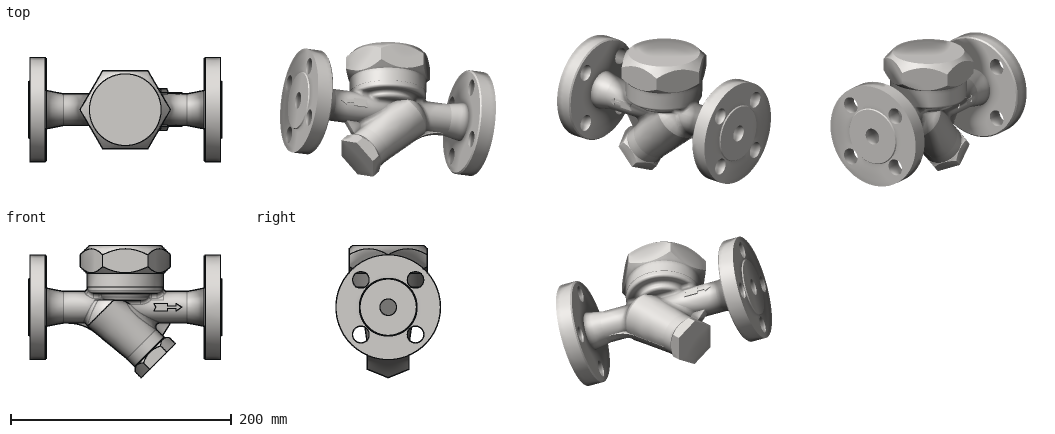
import cadquery as cq
import math

LENGTH = 175.0
HALF_LENGTH = LENGTH / 2

FLANGE_DIAMETER = 95.0
FLANGE_THICKNESS = 15.0
FLANGE_CHAMFER = 1.2
RAISED_FACE_DIAMETER = 51.0
RAISED_FACE_BASE_DIAMETER = 52.5
RAISED_FACE_HEIGHT = 1.0
BOLT_CIRCLE = 70.0
BOLT_HOLE_DIAMETER = 15.0
BOLT_COUNT = 4
FIRST_BOLT_ANGLE = 45.0

PIPE_DIAMETER = 29.0
PIPE_RADIUS = PIPE_DIAMETER / 2
HUB_DIAMETER = 35.0
HUB_LENGTH = 15.3
BORE_DIAMETER = 15.0
BORE_DEPTH = 40.0

HEXAGON_SIDES = 6
COVER_FLATS = 71.0
COVER_TOP = 56.0
COVER_BOTTOM = 30.5
COVER_TOP_DIAMETER = 65.0
COLLAR_DIAMETER = 69.5
COLLAR_BOTTOM = 18.3

DISC_DIAMETER = 69.0
DISC_BOTTOM = 12.6
DISC_ROUND = 2.4
NECK_DIAMETER = 50.0
NECK_BOTTOM = 6.0
NECK_ROUND = 3.0
BODY_FILLET = 3.0
SELECTION_MARGIN = 0.1

BRANCH_ANGLE = 45.0
BRANCH_CROSSING_X = -18.5
BRANCH_DIAMETER = 38.0
BRANCH_START = -12.0
BRANCH_START_RADIUS = 23.5
BRANCH_STRAIGHT_START = 34.0
BRANCH_END = 44.0
BRANCH_DOME_DEPTH = 12.0
BRANCH_TOP = 6.5
BRANCH_TO_PIPE_FILLET = 4.0

RIB_THICKNESS = 6.0
RIB_BLEND_RADIUS = 39.0
RIB_RIGHT_TOP = (41.0, -PIPE_RADIUS)
RIB_RIGHT_BOTTOM = (34.0, -25.5)

PLUG_FLATS = 38.0
PLUG_START = 44.6
PLUG_SHOULDER_DIAMETER = 36.5
PLUG_END = 55.5

ARROW_TAIL_X = 25.9
ARROW_NOTCH_X = 27.7
ARROW_SHAFT_X = 38.4
ARROW_HEAD_X = 45.9
ARROW_TIP_X = 51.3
ARROW_HALF_WIDTH = 3.5
ARROW_SHAFT_HALF_WIDTH = 1.1
ARROW_RELIEF = 0.9


def corner_diameter(across_flats):
    return across_flats / math.cos(math.pi / HEXAGON_SIDES)


def chamfer_cone(start, end, start_radius, slope_length):
    """Solid of revolution about Z, widening at 45 degrees from start."""
    step = math.copysign(slope_length, end - start)
    return (
        cq.Workplane("XZ")
        .moveTo(0, start)
        .lineTo(start_radius, start)
        .lineTo(start_radius + slope_length, start + step)
        .lineTo(start_radius + slope_length, end)
        .lineTo(0, end)
        .close()
        .revolve(360, (0, 0), (0, 1))
    )


def make_pipe():
    """Straight pipe with a tapered hub, flange and raised face at each end."""
    face = HALF_LENGTH - RAISED_FACE_HEIGHT
    back = face - FLANGE_THICKNESS
    flange_radius = FLANGE_DIAMETER / 2
    half_outline = [
        (back - HUB_LENGTH, PIPE_RADIUS),
        (back, HUB_DIAMETER / 2),
        (back, flange_radius - FLANGE_CHAMFER),
        (back + FLANGE_CHAMFER, flange_radius),
        (face, flange_radius),
        (face, RAISED_FACE_BASE_DIAMETER / 2),
        (HALF_LENGTH, RAISED_FACE_DIAMETER / 2),
        (HALF_LENGTH, 0),
    ]
    mirrored = [(-x, radius) for x, radius in reversed(half_outline)]
    return (
        cq.Workplane("XY")
        .polyline(mirrored + half_outline)
        .close()
        .revolve(360, (0, 0), (1, 0))
    )


def make_body():
    """Disc and neck, turned about Z."""
    disc = (
        cq.Workplane("XY", origin=(0, 0, DISC_BOTTOM))
        .circle(DISC_DIAMETER / 2)
        .extrude(COLLAR_BOTTOM - DISC_BOTTOM)
        .faces("<Z").edges().fillet(DISC_ROUND)
    )
    neck = (
        cq.Workplane("XY", origin=(0, 0, NECK_BOTTOM))
        .circle(NECK_DIAMETER / 2)
        .extrude(DISC_BOTTOM - NECK_BOTTOM)
        .faces("<Z").edges().fillet(NECK_ROUND)
    )
    return disc.union(neck)


def make_cover():
    height = COVER_TOP - COVER_BOTTOM
    corner = corner_diameter(COVER_FLATS)
    top_slope = (corner - COVER_TOP_DIAMETER) / 2
    bottom_slope = (corner - COLLAR_DIAMETER) / 2
    hexagon = (
        cq.Workplane("XY", origin=(0, 0, COVER_BOTTOM))
        .polygon(HEXAGON_SIDES, corner)
        .extrude(height)
        .intersect(chamfer_cone(COVER_TOP, COVER_BOTTOM, COVER_TOP_DIAMETER / 2, top_slope))
        .intersect(chamfer_cone(COVER_BOTTOM, COVER_TOP, COLLAR_DIAMETER / 2, bottom_slope))
    )
    collar = (
        cq.Workplane("XY", origin=(0, 0, COLLAR_BOTTOM))
        .circle(COLLAR_DIAMETER / 2)
        .extrude(COVER_BOTTOM - COLLAR_BOTTOM)
    )
    return hexagon.union(collar)


def place_on_branch(shape):
    """Move a shape built along +Z onto the branch axis."""
    foot = BRANCH_CROSSING_X / 2
    return (
        shape.rotate((0, 0, 0), (0, 1, 0), 90 + BRANCH_ANGLE)
        .translate((foot, 0, foot))
    )


def branch_point(along, across):
    """X and Z of a point at a distance along the branch axis and above it."""
    foot = BRANCH_CROSSING_X / 2
    angle = math.radians(BRANCH_ANGLE)
    return (
        foot + along * math.cos(angle) + across * math.sin(angle),
        foot - along * math.sin(angle) + across * math.cos(angle),
    )


def make_branch():
    """Tapered branch with a domed start."""
    radius = BRANCH_DIAMETER / 2
    profile = (
        cq.Workplane("XZ")
        .moveTo(0, BRANCH_START - BRANCH_DOME_DEPTH)
        .threePointArc(
            (BRANCH_START_RADIUS * math.sin(math.pi / 4),
             BRANCH_START - BRANCH_DOME_DEPTH * math.cos(math.pi / 4)),
            (BRANCH_START_RADIUS, BRANCH_START),
        )
        .lineTo(radius, BRANCH_STRAIGHT_START)
        .lineTo(radius, BRANCH_END)
        .lineTo(0, BRANCH_END)
        .close()
    )
    return place_on_branch(profile.revolve(360, (0, 0), (0, 1)))


def make_rib():
    """Rib whose lower edge leaves the pipe on an arc tangent to the branch."""
    taper = math.atan2(
        BRANCH_START_RADIUS - BRANCH_DIAMETER / 2,
        BRANCH_STRAIGHT_START - BRANCH_START,
    )
    slope = math.radians(BRANCH_ANGLE) - taper
    edge_x, edge_z = branch_point(BRANCH_STRAIGHT_START, -BRANCH_DIAMETER / 2)
    meet_x = edge_x - (-PIPE_RADIUS - edge_z) / math.tan(slope)
    start_x = meet_x - RIB_BLEND_RADIUS * math.tan(slope / 2)

    def blend_point(angle):
        return (
            start_x + RIB_BLEND_RADIUS * math.sin(angle),
            -PIPE_RADIUS - RIB_BLEND_RADIUS * (1 - math.cos(angle)),
        )

    return (
        cq.Workplane("XZ")
        .moveTo(start_x, 0)
        .lineTo(start_x, -PIPE_RADIUS)
        .threePointArc(blend_point(slope / 2), blend_point(slope))
        .lineTo(edge_x, edge_z)
        .lineTo(*branch_point(BRANCH_STRAIGHT_START, 0))
        .lineTo(*RIB_RIGHT_BOTTOM)
        .lineTo(*RIB_RIGHT_TOP)
        .lineTo(RIB_RIGHT_TOP[0], 0)
        .close()
        .extrude(RIB_THICKNESS / 2, both=True)
    )


def make_plug():
    corner = corner_diameter(PLUG_FLATS)
    slope = (corner - PLUG_FLATS) / 2
    hexagon = (
        cq.Workplane("XY", origin=(0, 0, PLUG_START))
        .polygon(HEXAGON_SIDES, corner)
        .extrude(PLUG_END - PLUG_START)
        .intersect(chamfer_cone(PLUG_START, PLUG_END, PLUG_FLATS / 2, slope))
    )
    shoulder = (
        cq.Workplane("XY", origin=(0, 0, BRANCH_END))
        .circle(PLUG_SHOULDER_DIAMETER / 2)
        .extrude(PLUG_START - BRANCH_END)
    )
    return place_on_branch(hexagon.union(shoulder))


def make_arrows():
    half_depth = PIPE_RADIUS + ARROW_RELIEF
    return (
        cq.Workplane("XZ")
        .moveTo(ARROW_NOTCH_X, 0)
        .lineTo(ARROW_TAIL_X, ARROW_HALF_WIDTH)
        .lineTo(ARROW_SHAFT_X, ARROW_HALF_WIDTH)
        .lineTo(ARROW_SHAFT_X, ARROW_SHAFT_HALF_WIDTH)
        .lineTo(ARROW_HEAD_X, ARROW_SHAFT_HALF_WIDTH)
        .lineTo(ARROW_HEAD_X, ARROW_HALF_WIDTH)
        .lineTo(ARROW_TIP_X, 0)
        .mirrorX()
        .extrude(half_depth, both=True)
    )


def make_bore():
    return (
        cq.Workplane("YZ", origin=(HALF_LENGTH, 0, 0))
        .circle(BORE_DIAMETER / 2)
        .extrude(-BORE_DEPTH)
    )


def make_bolt_holes():
    return (
        cq.Workplane("YZ", origin=(HALF_LENGTH, 0, 0))
        .polarArray(BOLT_CIRCLE / 2, FIRST_BOLT_ANGLE, 360, BOLT_COUNT)
        .circle(BOLT_HOLE_DIAMETER / 2)
        .extrude(-FLANGE_THICKNESS - RAISED_FACE_HEIGHT)
    )


def join_pipe_and_branch(pipe, branch):
    """Round the curves where they cross, then trim the branch just above the neck bottom."""
    joined = pipe.union(branch).edges("%BSPLINE").fillet(BRANCH_TO_PIPE_FILLET)
    above_top = (
        cq.Workplane("XY", origin=(0, 0, BRANCH_TOP))
        .rect(DISC_DIAMETER, DISC_DIAMETER)
        .extrude(COVER_TOP)
    )
    return joined.cut(above_top)


def join_pipe_and_body(pipe, body):
    """Round the curves where the body crosses the pipe, and the corner of disc and neck."""
    reach = NECK_DIAMETER / 2 + SELECTION_MARGIN
    neck_top = cq.selectors.BoxSelector(
        (-reach, -reach, DISC_BOTTOM - SELECTION_MARGIN),
        (reach, reach, DISC_BOTTOM + SELECTION_MARGIN),
        boundingbox=True,
    )
    inner_edges = cq.selectors.TypeSelector("BSPLINE") + neck_top
    return pipe.union(body).edges(inner_edges).fillet(BODY_FILLET)


pipe = make_pipe()
pipe_and_branch = join_pipe_and_branch(pipe, make_branch())
pipe_and_body = join_pipe_and_body(pipe, make_body())
casting = pipe_and_branch.union(pipe_and_body).union(make_rib())
result = casting.union(make_cover()).union(make_plug()).union(make_arrows())
for cutter in (make_bore(), make_bolt_holes()):
    result = result.cut(cutter).cut(cutter.mirror("YZ"))